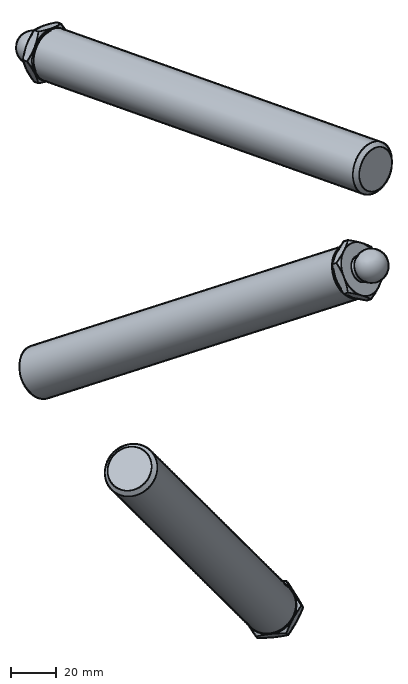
import cadquery as cq
import math

total_length = 219.0
body_diameter = 24.0
ball_diameter = 15.1
neck_diameter = 12.0

hex_across_flats = body_diameter
hex_start = 14.0
hex_thickness = 4.8
hex_chamfer_angle = 30.0

near_chamfer = 1.0
far_chamfer = 2.0

body_start = hex_start + hex_thickness
ball_radius = ball_diameter / 2
hex_corner_radius = hex_across_flats / math.sqrt(3)
hex_face_radius = hex_across_flats / 2
hex_chamfer_depth = (hex_corner_radius - hex_face_radius) * math.tan(math.radians(hex_chamfer_angle))


def rod(start, end, diameter):
    """Round bar along X from start to end."""
    return cq.Workplane("YZ", origin=(start, 0, 0)).circle(diameter / 2).extrude(end - start)


def make_body():
    """Long cylinder with a chamfer at each end."""
    body = rod(body_start, total_length, body_diameter)
    body = body.faces("<X").chamfer(near_chamfer)
    return body.faces(">X").chamfer(far_chamfer)


def make_hex():
    """Hexagonal collar with corners along Y, its corners turned off on both faces."""
    prism = (
        cq.Workplane("YZ", origin=(hex_start, 0, 0))
        .polygon(6, 2 * hex_corner_radius)
        .extrude(hex_thickness)
    )
    turned_blank = (
        cq.Workplane("XY")
        .moveTo(hex_start, 0)
        .lineTo(hex_start, hex_face_radius)
        .lineTo(hex_start + hex_chamfer_depth, hex_corner_radius)
        .lineTo(body_start - hex_chamfer_depth, hex_corner_radius)
        .lineTo(body_start, hex_face_radius)
        .lineTo(body_start, 0)
        .close()
        .revolve(360, (0, 0, 0), (1, 0, 0))
    )
    return prism.intersect(turned_blank)


def make_ball_stud():
    """Ball on a short neck that runs into the hexagonal collar."""
    ball = (
        cq.Workplane("XY")
        .moveTo(0, 0)
        .threePointArc((ball_radius, ball_radius), (ball_diameter, 0))
        .close()
        .revolve(360, (0, 0, 0), (1, 0, 0))
    )
    return ball.union(rod(ball_radius, hex_start, neck_diameter))


result = make_body().union(make_hex()).union(make_ball_stud())